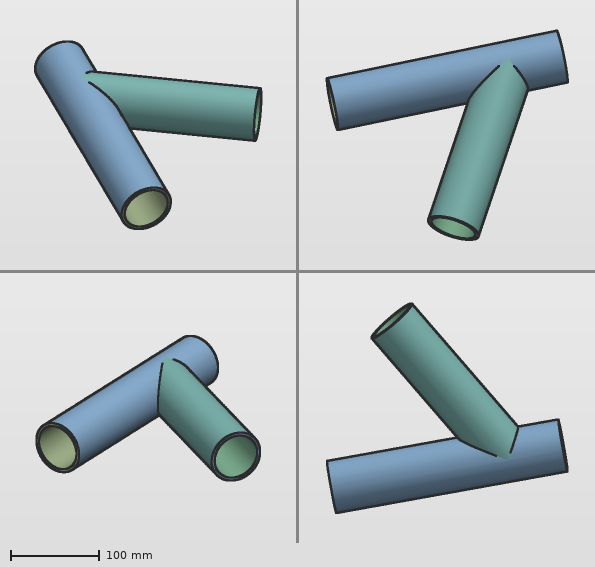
import cadquery as cq
import math

main_length = 266.7
outer_diameter = 60.3
bore_diameter = 52.5

branch_angle = 60.0
branch_length = 203.2
junction_offset = 63.5

main_start = cq.Vector(0, 0, 0)
main_direction = cq.Vector(1, 0, 0)
junction = cq.Vector(junction_offset, 0, 0)
branch_tilt = math.radians(branch_angle)
branch_direction = cq.Vector(math.cos(branch_tilt), math.sin(branch_tilt), 0)


def rod(diameter, length, start, direction):
    """Solid round bar from a start point along a direction."""
    return cq.Workplane(cq.Solid.makeCylinder(diameter / 2, length, start, direction))


def pipe_tee(diameter):
    """Main and branch bars of one diameter, joined at the junction."""
    main = rod(diameter, main_length, main_start, main_direction)
    branch = rod(diameter, branch_length, junction, branch_direction)
    return main.union(branch)


result = pipe_tee(outer_diameter).cut(pipe_tee(bore_diameter))